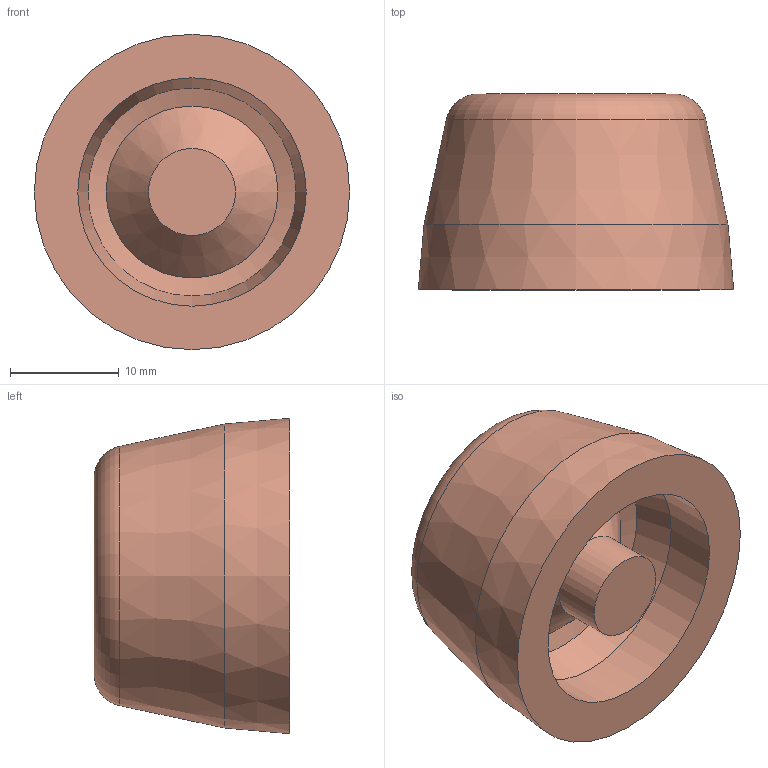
import math

import cadquery as cq

height = 18.0
rim_radius = 14.5
skirt_height = 6.0
skirt_draft = 5.0
crown_draft = 12.0
crown_fillet = 3.0

mouth_radius = 21.0 / 2
mouth_depth = 5.0
taper_end_depth = 8.5
taper_draft = 15.0
floor_depth = 9.0

pin_radius = 8.0 / 2
pin_recess = 0.5
flare_radius = 7.9
flare_angle = 45.0


def radial_change(length, angle):
    """Change in radius of a cone over an axial length."""
    return length * math.tan(math.radians(angle))


skirt_top_radius = rim_radius - radial_change(skirt_height, skirt_draft)
crown_radius = skirt_top_radius - radial_change(height - skirt_height, crown_draft)
taper_end_radius = mouth_radius - radial_change(taper_end_depth - mouth_depth, taper_draft)
flare_length = (flare_radius - pin_radius) / math.tan(math.radians(flare_angle))
flare_start_depth = floor_depth - flare_length


def revolve_profile(points):
    """Turn a closed (radius, y) outline a full turn about the Y axis."""
    return cq.Workplane("XY").polyline(points).close().revolve(360, (0, 0, 0), (0, 1, 0))


def make_body():
    """Solid knob with a drafted skirt, a steeper crown and a rounded closed end."""
    body = revolve_profile([
        (0, 0),
        (rim_radius, 0),
        (skirt_top_radius, skirt_height),
        (crown_radius, height),
        (0, height),
    ])
    return body.faces(">Y").edges().fillet(crown_fillet)


def make_cavity():
    """Space to remove from the open end, leaving the flared pin standing."""
    return revolve_profile([
        (0, 0),
        (mouth_radius, 0),
        (mouth_radius, mouth_depth),
        (taper_end_radius, taper_end_depth),
        (flare_radius, floor_depth),
        (pin_radius, flare_start_depth),
        (pin_radius, pin_recess),
        (0, pin_recess),
    ])


result = make_body().cut(make_cavity())